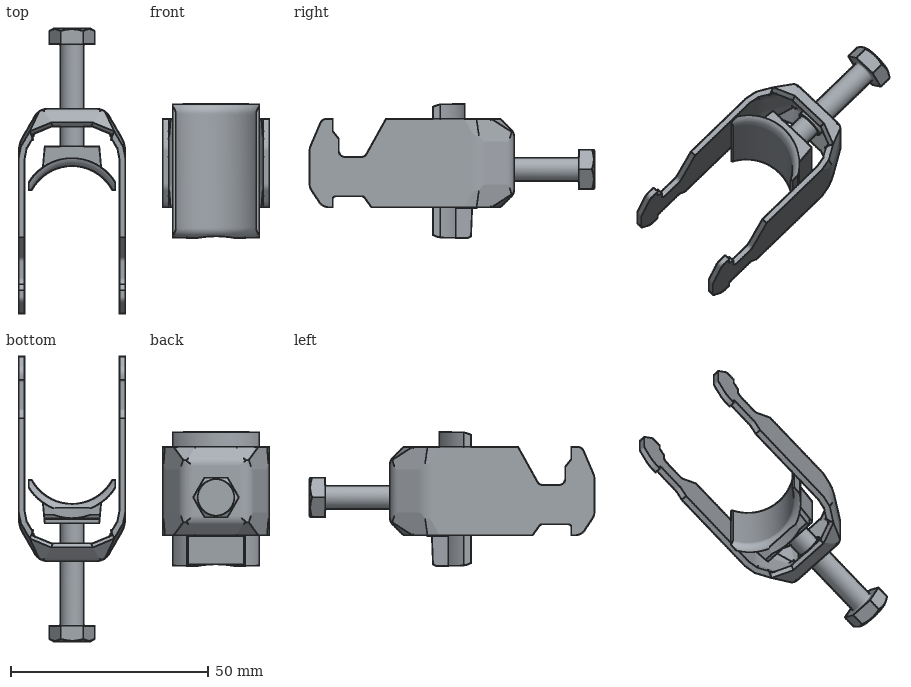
import cadquery as cq
import math


SHEET = 1.5
LEG_X = 13.5
BACK_Y = 51.95
CLAMP_MID_Z = 1.6
HALF_HEIGHT = 11.2
CLAMP_TOP = CLAMP_MID_Z + HALF_HEIGHT
CLAMP_BOTTOM = CLAMP_MID_Z - HALF_HEIGHT
LEG_START_Y = 39.3

BACK_CORNER_X = 8.3
OBLIQUE_ANGLE = 30.0
OBLIQUE_MID_Y = 46.95
BACK_BEND_RADIUS = 4.0
LEG_BEND_RADIUS = 7.2

FLANGE_ANGLE = 45.0
FLANGE_DROP = 3.55
FLANGE_BEND_RADIUS = 2.9
RIM_Y = BACK_Y - FLANGE_DROP
CORNER_RIM = ((5.3, RIM_Y), (10.7, 46.2))
CORNER_FLANGE_TILT = 49.0
FLANK_TILT = 8.0
FLANK_RIM = (11.1, 45.45)
LEG_FLANK_TILT = 6.0
LEG_FLANK_ANGLE = 11.0
OVERSHOOT = 7.2
BIG = 144.5

COLLAR_DIAMETER = 7.2
COLLAR_BASE_DIAMETER = 8.2
COLLAR_END_Y = 48.4

SHANK_DIAMETER = 6.0
HEAD_TOP_Y = 72.25
HEAD_HEIGHT = 4.0
HEAD_FLATS = 10.05
HEAD_CROWN_RADIUS = 4.6
HEAD_CHAMFER_ANGLE = 30.0
NECK_RADIUS = 0.325

SADDLE_AXIS_Y = 25.7
SADDLE_INNER_RADIUS = 11.6
SADDLE_WALL = 2.0
SADDLE_OUTER_RADIUS = 12.85
OUTER_AXIS_Y = SADDLE_AXIS_Y + SADDLE_INNER_RADIUS + SADDLE_WALL - SADDLE_OUTER_RADIUS
SADDLE_HALF_WIDTH = 11.0
SADDLE_TIP_Y = 31.3
SADDLE_TOP = 16.6
SADDLE_HEIGHT = 34.0
SADDLE_BOTTOM = SADDLE_TOP - SADDLE_HEIGHT
SADDLE_MID_Z = SADDLE_TOP - SADDLE_HEIGHT / 2
LIP_DEPTH = 2.75
LIP_MID_RADIUS = 12.3
LIP_MID_DEPTH = 0.8
ARCH_RISE = 0.4
ARCH_HALF_WIDTH = 4.7

BLOCK_BACK_Y = 42.35
BLOCK_TOP = 10.05
BLOCK_BOTTOM = -9.9
BLOCK_HALF_WIDTH = 6.9
BLOCK_WIDENING = 0.09
TAB_BACK_Y = 41.25
TAB_FOOT_Y = 41.0
TAB_CHAMFER = 0.4


def tan_deg(angle):
    return math.tan(math.radians(angle))


def half_space(point, azimuth, tilt, inset):
    """Block outside a tilted plane. Azimuth turns its normal from +Y to +X and tilt raises it."""
    turn, lean = math.radians(azimuth), math.radians(tilt)
    normal = cq.Vector(math.cos(lean) * math.sin(turn), math.cos(lean) * math.cos(turn), math.sin(lean))
    origin = cq.Vector(*point) - normal * inset
    return cq.Workplane(cq.Plane(origin, normal=normal)).rect(BIG, BIG).extrude(BIG)


def four_copies(tool):
    """The tool mirrored left to right and about the clamp mid-height."""
    pair = [tool, tool.mirror("YZ")]
    return pair + [t.mirror("XY", (0, 0, CLAMP_MID_Z)) for t in pair]


def corner_azimuth():
    (x0, y0), (x1, y1) = CORNER_RIM
    return math.degrees(math.atan2(y0 - y1, x1 - x0))


def bowl(inset, half_height):
    """Solid U with flanged back; inset moves every wall inward to give the inner surface."""
    back_y = BACK_Y - inset
    leg_x = LEG_X - inset
    back_x = BACK_CORNER_X - inset * tan_deg((90 - OBLIQUE_ANGLE) / 2)
    leg_corner_y = back_y - (leg_x - back_x) / tan_deg(OBLIQUE_ANGLE)
    front_y = -OVERSHOOT if inset else 0.0

    plan = (
        cq.Workplane("XY", origin=(0, 0, CLAMP_MID_Z))
        .polyline([
            (-leg_x, front_y), (leg_x, front_y), (leg_x, leg_corner_y),
            (back_x, back_y), (-back_x, back_y), (-leg_x, leg_corner_y),
        ])
        .close()
        .extrude(half_height, both=True)
    )
    plan = plan.edges("|Z and >Y").fillet(BACK_BEND_RADIUS - inset)
    bends = cq.selectors.BoxSelector((-BIG, LEG_START_Y, -BIG), (BIG, OBLIQUE_MID_Y, BIG))
    plan = plan.edges("|Z").edges(bends).fillet(LEG_BEND_RADIUS - inset)

    flat_half = HALF_HEIGHT - FLANGE_DROP - inset * tan_deg(FLANGE_ANGLE / 2)
    rim_y = back_y - (half_height - flat_half) * tan_deg(FLANGE_ANGLE)
    side = (
        cq.Workplane("YZ", origin=(0, 0, CLAMP_MID_Z))
        .polyline([
            (front_y, -half_height), (rim_y, -half_height), (back_y, -flat_half),
            (back_y, flat_half), (rim_y, half_height), (front_y, half_height),
        ])
        .close()
        .extrude(LEG_X, both=True)
        .edges("|X and >Y")
        .fillet(FLANGE_BEND_RADIUS - inset)
    )
    body = plan.intersect(side)

    corner = half_space((*CORNER_RIM[0], CLAMP_TOP), corner_azimuth(), CORNER_FLANGE_TILT, inset)
    flank = half_space((*FLANK_RIM, CLAMP_TOP), 90 - OBLIQUE_ANGLE, FLANK_TILT, inset)
    leg_flank = half_space((LEG_X, LEG_START_Y, CLAMP_TOP), 90 - LEG_FLANK_ANGLE, LEG_FLANK_TILT, inset)
    for shape in (corner, flank, leg_flank):
        for tool in four_copies(shape):
            body = body.cut(tool)
    return body


def rim_wedge(start, end, tilt):
    """Prism that trims the flange rim square to the flange, along a rim line at the clamp top."""
    along = cq.Vector(end[0] - start[0], end[1] - start[1], 0)
    lean = math.radians(tilt)
    across = SHEET / math.cos(lean)
    foot = (SHEET * math.cos(lean), SHEET * math.sin(lean))
    plane = cq.Plane((*start, CLAMP_TOP), xDir=(along.y, -along.x, 0), normal=along.toTuple())
    return (
        cq.Workplane(plane)
        .polyline([(0, 0), (across, 0), foot])
        .close()
        .extrude(along.Length)
    )


def leg_outline():
    """Side shape of the clamp with the hooked leg ends, as a plate across the full width."""
    top, bottom = CLAMP_TOP, CLAMP_BOTTOM
    slot_floor, slot_ceiling = 3.2, -6.85
    hook_back_y, throat_y = 5.9, 7.45
    nose_top, nose_bottom = (0, 5.35), (0, -4.55)
    hook_top, hook_bottom = (3.2, top), (3.3, bottom)
    slope_head, slope_foot = (19.35, top), (14.0, slot_floor)
    lower_slope_head, lower_slope_foot = (13.7, slot_ceiling), (15.7, bottom)
    throat, lower_throat = (throat_y, slot_floor), (hook_back_y, slot_ceiling)
    bevel_foot, bevel_head = (throat_y, 7.8), (hook_back_y, 9.7)
    nose_radius, hook_radius, slope_radius, lower_radius = 2.9, 1.6, 1.45, 0.65

    plate = (
        cq.Workplane("YZ")
        .polyline([
            (BACK_Y, bottom), (BACK_Y, top), slope_head, slope_foot, throat,
            bevel_foot, bevel_head, (hook_back_y, top), hook_top, nose_top,
            nose_bottom, hook_bottom, (hook_back_y, bottom), lower_throat, lower_slope_head,
            lower_slope_foot,
        ])
        .close()
        .extrude(LEG_X, both=True)
    )
    roundings = [
        (nose_top, nose_radius), (nose_bottom, nose_radius), (hook_bottom, nose_radius),
        (hook_top, hook_radius), (throat, hook_radius), (slope_foot, slope_radius),
        (lower_throat, lower_radius), (lower_slope_head, lower_radius),
    ]
    reach = 0.1
    for (y, z), radius in roundings:
        corner = cq.selectors.BoxSelector((-BIG, y - reach, z - reach), (BIG, y + reach, z + reach))
        plate = plate.edges("|X").edges(corner).fillet(radius)
    return plate


def make_clamp():
    clamp = bowl(0, HALF_HEIGHT).cut(bowl(SHEET, HALF_HEIGHT + OVERSHOOT))
    rim_x = CORNER_RIM[0][0]
    wedges = [rim_wedge((-rim_x, RIM_Y), (rim_x, RIM_Y), FLANGE_ANGLE)]
    wedges.append(wedges[0].mirror("XY", (0, 0, CLAMP_MID_Z)))
    wedges += four_copies(rim_wedge(*CORNER_RIM, CORNER_FLANGE_TILT))
    for wedge in wedges:
        clamp = clamp.cut(wedge)
    clamp = clamp.intersect(leg_outline())

    wall_y = BACK_Y - SHEET
    flare = (COLLAR_BASE_DIAMETER - COLLAR_DIAMETER) / 2
    collar = (
        cq.Workplane("XY")
        .moveTo(0, wall_y)
        .lineTo(COLLAR_BASE_DIAMETER / 2, wall_y)
        .radiusArc((COLLAR_DIAMETER / 2, wall_y - flare), -flare)
        .lineTo(COLLAR_DIAMETER / 2, COLLAR_END_Y)
        .lineTo(0, COLLAR_END_Y)
        .close()
        .revolve(360, (0, 0, 0), (0, 1, 0))
    )
    hole = cq.Workplane("XZ", origin=(0, BACK_Y, 0)).circle(SHANK_DIAMETER / 2).extrude(BACK_Y)
    return clamp.union(collar).cut(hole)


def make_bolt():
    head_bottom_y = HEAD_TOP_Y - HEAD_HEIGHT
    across_corners = HEAD_FLATS / math.cos(math.pi / 6)
    head = (
        cq.Workplane("XZ", origin=(0, HEAD_TOP_Y, 0)).polygon(6, across_corners).extrude(HEAD_HEIGHT)
    )
    reach = across_corners - HEAD_CROWN_RADIUS
    crown = (
        cq.Workplane("XY")
        .polyline([
            (0, HEAD_TOP_Y), (HEAD_CROWN_RADIUS, HEAD_TOP_Y),
            (across_corners, HEAD_TOP_Y - reach * tan_deg(HEAD_CHAMFER_ANGLE)),
            (across_corners, head_bottom_y), (0, head_bottom_y),
        ])
        .close()
        .revolve(360, (0, 0, 0), (0, 1, 0))
    )
    radius = SHANK_DIAMETER / 2
    shank = (
        cq.Workplane("XY")
        .moveTo(0, head_bottom_y)
        .lineTo(radius + NECK_RADIUS, head_bottom_y)
        .radiusArc((radius, head_bottom_y - NECK_RADIUS), -NECK_RADIUS)
        .lineTo(radius, BLOCK_BACK_Y)
        .lineTo(0, BLOCK_BACK_Y)
        .close()
        .revolve(360, (0, 0, 0), (0, 1, 0))
    )
    return head.intersect(crown).union(shank)


def saddle_envelope():
    """Cylinder bounded by the outer surface of the saddle."""
    base = cq.Workplane("XY", origin=(0, OUTER_AXIS_Y, SADDLE_BOTTOM))
    return base.circle(SADDLE_OUTER_RADIUS).extrude(SADDLE_HEIGHT)


def backing(bottom, top):
    """Tapered prism behind the saddle, filling up to the saddle's outer surface."""
    front_half_width = BLOCK_HALF_WIDTH + BLOCK_WIDENING * (BLOCK_BACK_Y - SADDLE_AXIS_Y)
    prism = (
        cq.Workplane("XY", origin=(0, 0, bottom))
        .polyline([
            (-BLOCK_HALF_WIDTH, BLOCK_BACK_Y), (BLOCK_HALF_WIDTH, BLOCK_BACK_Y),
            (front_half_width, SADDLE_AXIS_Y), (-front_half_width, SADDLE_AXIS_Y),
        ])
        .close()
        .extrude(top - bottom)
    )
    return prism.cut(saddle_envelope())


def make_block():
    return backing(BLOCK_BOTTOM, BLOCK_TOP)


def make_saddle():
    rim_radius = SADDLE_INNER_RADIUS + SADDLE_WALL
    lip_top, lip_bottom = SADDLE_TOP - LIP_DEPTH, SADDLE_BOTTOM + LIP_DEPTH
    trough = (
        cq.Workplane("XZ")
        .moveTo(rim_radius, SADDLE_BOTTOM)
        .lineTo(rim_radius, SADDLE_TOP)
        .threePointArc((LIP_MID_RADIUS, SADDLE_TOP - LIP_MID_DEPTH), (SADDLE_INNER_RADIUS, lip_top))
        .lineTo(SADDLE_INNER_RADIUS, lip_bottom)
        .threePointArc((LIP_MID_RADIUS, SADDLE_BOTTOM + LIP_MID_DEPTH), (rim_radius, SADDLE_BOTTOM))
        .close()
        .revolve(360, (0, 0, 0), (0, 1, 0))
        .translate((0, SADDLE_AXIS_Y, 0))
    )
    depth = BLOCK_BACK_Y - SADDLE_TIP_Y
    window = cq.Workplane("XY").box(2 * SADDLE_HALF_WIDTH, depth, SADDLE_HEIGHT).translate(
        (0, SADDLE_TIP_Y + depth / 2, SADDLE_MID_Z))
    trough = trough.intersect(window).intersect(saddle_envelope())

    tab_side = (
        cq.Workplane("YZ")
        .polyline([
            (SADDLE_AXIS_Y, BLOCK_BOTTOM), (TAB_BACK_Y, BLOCK_BOTTOM),
            (TAB_FOOT_Y, SADDLE_BOTTOM + TAB_CHAMFER),
            (TAB_FOOT_Y - 2 * TAB_CHAMFER, SADDLE_BOTTOM), (SADDLE_AXIS_Y, SADDLE_BOTTOM),
        ])
        .close()
        .extrude(SADDLE_HALF_WIDTH, both=True)
    )
    tab = backing(SADDLE_BOTTOM, BLOCK_BOTTOM).intersect(tab_side)

    arch = (
        cq.Workplane("XZ")
        .moveTo(-ARCH_HALF_WIDTH, SADDLE_BOTTOM)
        .threePointArc((0, SADDLE_BOTTOM + ARCH_RISE), (ARCH_HALF_WIDTH, SADDLE_BOTTOM))
        .close()
        .extrude(-BLOCK_BACK_Y)
    )
    return trough.union(tab).cut(arch)


clamp = make_clamp()
bolt = make_bolt()
block = make_block()
saddle = make_saddle()

result = cq.Compound.makeCompound([body.solids().val() for body in (clamp, bolt, block, saddle)])